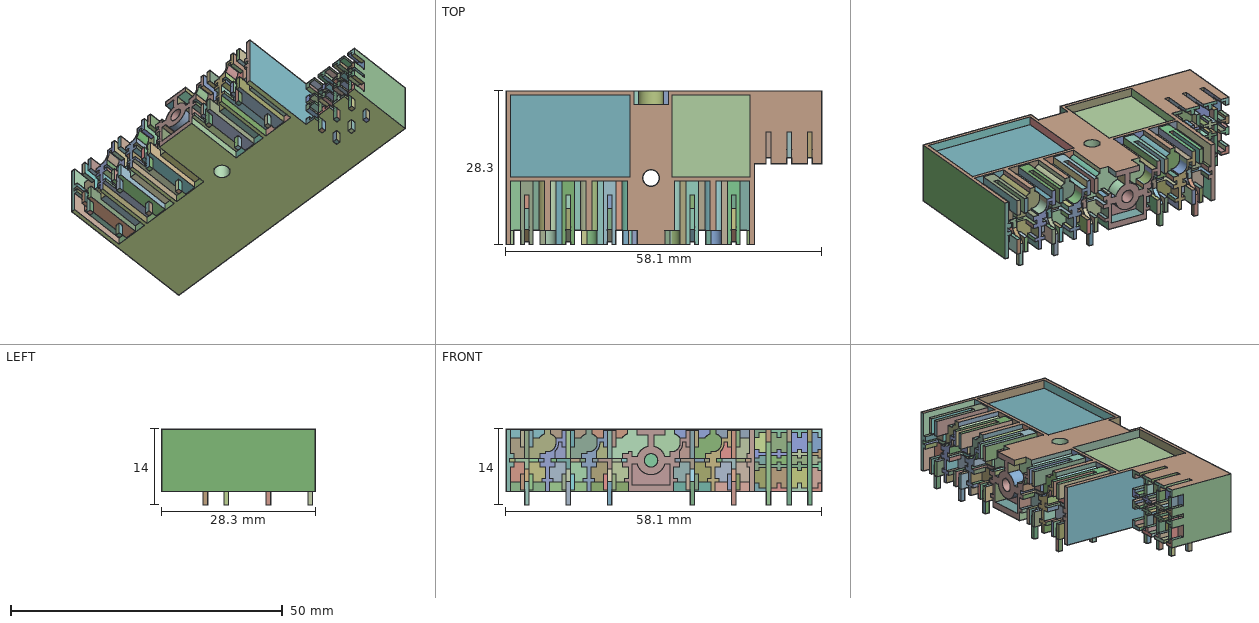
import cadquery as cq
import math

LENGTH = 58.12
DEPTH = 28.3
HEIGHT = 11.5
MID_Z = HEIGHT / 2
PITCH = 7.62
POWER_END = 6 * PITCH
SIGNAL_FRONT = 14.86
FACE_DEPTH = 2.6
BAY_BACK = 11.7
LEFT_WALL = 0.77
RIGHT_WALL = 0.9

FIRST_CONTACT = PITCH / 2
CONTACT_STATIONS = (0, 1, 2, 4, 5)
FIRST_POST = PITCH
FREE_POSTS = (0, 1, 4)
LEFT_CENTRE_POST = 2
RIGHT_CENTRE_POST = 3
POST_HALF = 0.35
SHOULDER_HALF = 1.4
SHOULDER_BOTTOM, SHOULDER_TOP = 4.57, 7.05
FOOT_HALF = 1.05
FOOT_TOP = 2.45
BLOCK_BOTTOM, BLOCK_TOP = 1.75, 9.85

KEY_Z = 8.87
KEY_RADIUS = 1.82
NECK_HALF = 0.53
TROUGH_RADIUS = 1.53
SEAT_Z = KEY_Z - TROUGH_RADIUS
HORN_RADIUS = 2.0
TAB_BOTTOM = 9.15

PLATE = 0.85
RIB_HALF = 1.16
RIB_HEIGHT = 3.0
RIB_INSET = 0.25
TAIL_LENGTH = 2.5
TAIL_WIDTH = 0.9
POWER_TAIL_FRONT = 0.5
POWER_SLOT_BACK = 9.1
PLATE_FRONT = 2.8
BLADE_BACK = 6.6
BLADE_HALF = 2.18
BLADE_SLOT_HALF = 3.17
BLADE_THICK = 0.7
BLADE_SETBACK = 0.4
RAMP_LOW, RAMP_HIGH = 1.9, 4.2

BOSS_X = 3.5 * PITCH
BOSS_RADIUS = 2.63
BORE_RADIUS = 1.24
BORE_DEPTH = 8.0
TEE_HALF = 2.55
TEE_THICK = 1.1
WEB_HALF = 0.53
BAR_HALF = 0.7
SILL = 1.23
SCREW_DIAMETER = 3.0
SCREW_Y = 12.24

NOTCH_WIDTH = 6.35
NOTCH_DEPTH = 2.55
REAR_BOSS_RADIUS = 2.27
POCKET_DEPTH = 1.6
POCKET_Y = (12.4, 27.55)
POCKET_SPANS = ((0.77, 22.83), (30.5, 44.87))

FIRST_SIGNAL = 48.3
SIGNAL_PITCH = PITCH / 2
SIGNAL_COUNT = 3
SIGNAL_CONTACTS = [FIRST_SIGNAL + i * SIGNAL_PITCH for i in range(SIGNAL_COUNT)]
SIGNAL_PLATE_FRONT = 15.95
SIGNAL_SLOT_BACK = 20.7
SIGNAL_PLATE_TOP = 9.1
SHELF_LEVELS = ((0.0, 0.65), (4.4, 4.95), (6.65, 7.2), (HEIGHT - 0.6, HEIGHT))
LIP_LEVELS = ((0.0, 1.55), (3.9, 5.45), (6.15, 7.75), (HEIGHT - 1.5, HEIGHT))
LIP_WIDTH = 0.72
LEFT_LIP_WIDTH = 0.87


def box(x0, x1, y0, y1, z0, z1):
    """Axis-aligned block between two opposite corners."""
    return cq.Workplane("XY").box(x1 - x0, y1 - y0, z1 - z0, centered=False).translate((x0, y0, z0))


def rod(x, z, radius, y0, y1):
    """Cylinder along Y."""
    return cq.Workplane("XZ", origin=(x, y0, z)).circle(radius).extrude(y0 - y1)


def face_box(x0, x1, z0, z1):
    """Block within the front guide zone."""
    return box(x0, x1, 0, FACE_DEPTH, z0, z1)


def contact_x(station):
    return FIRST_CONTACT + station * PITCH


def post_x(station):
    return FIRST_POST + station * PITCH


def fuse(shape, parts):
    return cq.Workplane(obj=shape.val().fuse(*[part.val() for part in parts]).clean())


def carve(shape, tools):
    return cq.Workplane(obj=shape.val().cut(*[tool.val() for tool in tools]).clean())


def bay_core():
    """Rear body plus everything between the front guide zone and the bay back wall."""
    bay_front = FACE_DEPTH
    centre_left = post_x(LEFT_CENTRE_POST)
    centre_right = post_x(RIGHT_CENTRE_POST)
    parts = [
        box(POWER_END, LENGTH, SIGNAL_FRONT, DEPTH, 0, HEIGHT),
        box(0, LEFT_WALL, 0, BAY_BACK, 0, HEIGHT),
        box(POWER_END - RIGHT_WALL, POWER_END, 0, BAY_BACK, 0, HEIGHT),
        box(0, POWER_END, bay_front, BAY_BACK, BLOCK_BOTTOM, BLOCK_TOP),
        box(centre_left - NECK_HALF, centre_right + NECK_HALF, bay_front, BAY_BACK, MID_Z, HEIGHT),
        box(centre_left - POST_HALF, centre_right + POST_HALF, bay_front, BAY_BACK, 0, MID_Z),
    ]
    for station in FREE_POSTS:
        x = post_x(station)
        parts.append(box(x - NECK_HALF, x + NECK_HALF, bay_front, BAY_BACK, MID_Z, HEIGHT))
        parts.append(box(x - POST_HALF, x + POST_HALF, bay_front, BAY_BACK, 0, MID_Z))
    for station in FREE_POSTS + (LEFT_CENTRE_POST, RIGHT_CENTRE_POST):
        parts.append(rod(post_x(station), KEY_Z, KEY_RADIUS, bay_front, BAY_BACK))
    return fuse(box(0, POWER_END, BAY_BACK, DEPTH, 0, HEIGHT), parts)


def curved_lip(x):
    """Left end of the trough: the stretch of its curve over the left half of a post."""
    lip_top = KEY_Z - math.sqrt(TROUGH_RADIUS ** 2 - POST_HALF ** 2)
    lip = face_box(x - POST_HALF, x, SEAT_Z, lip_top)
    return lip.cut(rod(x, KEY_Z, TROUGH_RADIUS, 0, FACE_DEPTH))


def horn(x):
    """Right-hand arm of a post: shoulder, trough wall and the tab reaching the next rib."""
    tab_end = PITCH / 2 - RIB_HALF
    diagonal = math.sqrt(0.5)
    outer_drop = math.sqrt(HORN_RADIUS ** 2 - SHOULDER_HALF ** 2)
    half_angle = math.acos(SHOULDER_HALF / HORN_RADIUS) / 2
    outer_mid = (HORN_RADIUS * math.cos(half_angle), KEY_Z - HORN_RADIUS * math.sin(half_angle))
    return (
        cq.Workplane("XZ", origin=(x, 0, 0))
        .moveTo(0, SHOULDER_BOTTOM)
        .lineTo(0, SEAT_Z)
        .threePointArc((TROUGH_RADIUS * diagonal, KEY_Z - TROUGH_RADIUS * diagonal), (TROUGH_RADIUS, KEY_Z))
        .lineTo(TROUGH_RADIUS, BLOCK_TOP)
        .lineTo(tab_end, BLOCK_TOP)
        .lineTo(tab_end, TAB_BOTTOM)
        .lineTo(HORN_RADIUS, TAB_BOTTOM)
        .lineTo(HORN_RADIUS, KEY_Z)
        .threePointArc(outer_mid, (SHOULDER_HALF, KEY_Z - outer_drop))
        .lineTo(SHOULDER_HALF, SHOULDER_BOTTOM)
        .close()
        .extrude(-FACE_DEPTH)
    )


def post(station, left_arm, right_arm):
    """Guide post in the front zone with its shoulders and feet."""
    x = post_x(station)
    parts = []
    if left_arm:
        parts.append(curved_lip(x))
        parts.append(face_box(x - SHOULDER_HALF, x, SHOULDER_BOTTOM, SHOULDER_TOP))
        parts.append(face_box(x - FOOT_HALF, x, BLOCK_BOTTOM, FOOT_TOP))
    if right_arm:
        parts.append(horn(x))
        parts.append(face_box(x, x + FOOT_HALF, BLOCK_BOTTOM, FOOT_TOP))
    return fuse(face_box(x - POST_HALF, x + POST_HALF, 0, SEAT_Z), parts)


def front_guides():
    """All posts, plus the half shoulders on the two end walls."""
    wall_reach = PITCH / 2 - SHOULDER_HALF
    parts = [post(station, True, True) for station in FREE_POSTS]
    parts.append(post(LEFT_CENTRE_POST, True, False))
    parts.append(post(RIGHT_CENTRE_POST, False, True))
    first = contact_x(CONTACT_STATIONS[0])
    last = contact_x(CONTACT_STATIONS[-1])
    parts.append(face_box(0, first - wall_reach, SHOULDER_BOTTOM, SHOULDER_TOP))
    parts.append(face_box(last + wall_reach, POWER_END, SHOULDER_BOTTOM, SHOULDER_TOP))
    return parts


def centre_boss():
    """Screw boss held by side bars, a web with a tee on top, and a sill below."""
    left = post_x(LEFT_CENTRE_POST)
    right = post_x(RIGHT_CENTRE_POST)
    return [
        rod(BOSS_X, MID_Z, BOSS_RADIUS, 0, FACE_DEPTH),
        face_box(left, right, MID_Z - BAR_HALF, MID_Z + BAR_HALF),
        face_box(left, right, 0, SILL),
        face_box(BOSS_X - WEB_HALF, BOSS_X + WEB_HALF, MID_Z, HEIGHT),
        face_box(BOSS_X - TEE_HALF, BOSS_X + TEE_HALF, HEIGHT - TEE_THICK, HEIGHT),
    ]


def contact_ribs(x):
    """Upper and lower ribs that hold one power contact."""
    upper_top = HEIGHT - RIB_INSET
    upper = box(x - RIB_HALF, x + RIB_HALF, 0, BAY_BACK, upper_top - RIB_HEIGHT, upper_top)
    lower = box(x - RIB_HALF, x + RIB_HALF, 0, BAY_BACK, RIB_INSET, RIB_INSET + RIB_HEIGHT)
    return [upper, lower]


def blade_box(x0, x1, y_front):
    half_thick = BLADE_THICK / 2
    return box(x0, x1, y_front, BLADE_BACK, MID_Z - half_thick, MID_Z + half_thick)


def power_slots(x):
    """Upright contact slot and the cross slot for the blade."""
    upright = box(x - PLATE / 2, x + PLATE / 2, 0, POWER_SLOT_BACK, 0, HEIGHT)
    return [upright, blade_box(x - BLADE_SLOT_HALF, x + BLADE_SLOT_HALF, 0)]


def tail(x, y_front):
    return box(x - PLATE / 2, x + PLATE / 2, y_front, y_front + TAIL_WIDTH, -TAIL_LENGTH, RAMP_LOW)


def power_contact(x):
    """Upright plate with a ramped front, two cross-blade arms and two solder tails."""
    blade_top = MID_Z + BLADE_THICK / 2
    plate = (
        cq.Workplane("YZ", origin=(x - PLATE / 2, 0, 0))
        .polyline([
            (POWER_TAIL_FRONT, RIB_INSET),
            (POWER_TAIL_FRONT, RAMP_LOW),
            (PLATE_FRONT, RAMP_HIGH),
            (PLATE_FRONT, blade_top),
            (BLADE_BACK, blade_top),
            (BLADE_BACK, RAMP_HIGH),
            (POWER_SLOT_BACK, RAMP_HIGH),
            (POWER_SLOT_BACK, RIB_INSET),
        ])
        .close()
        .extrude(PLATE)
    )
    rear_tail = POWER_SLOT_BACK - TAIL_WIDTH
    left_arm = blade_box(x - BLADE_HALF, x, PLATE_FRONT)
    right_arm = blade_box(x, x + BLADE_HALF, PLATE_FRONT + BLADE_SETBACK)
    return [plate, left_arm, right_arm, tail(x, POWER_TAIL_FRONT), tail(x, rear_tail)]


def signal_face(body):
    """Open the signal front into shelves with short upright lips between the contacts."""
    y0 = SIGNAL_FRONT
    y1 = SIGNAL_FRONT + FACE_DEPTH
    body = body.cut(box(POWER_END, LENGTH, y0, y1, 0, HEIGHT))
    lip_spans = [(POWER_END, POWER_END + LEFT_LIP_WIDTH), (LENGTH - LIP_WIDTH, LENGTH)]
    for left, right in zip(SIGNAL_CONTACTS, SIGNAL_CONTACTS[1:]):
        middle = (left + right) / 2
        lip_spans.append((middle - LIP_WIDTH / 2, middle + LIP_WIDTH / 2))
    shelves = [box(POWER_END, LENGTH, y0, y1, z0, z1) for z0, z1 in SHELF_LEVELS]
    lips = [box(x0, x1, y0, y1, z0, z1) for x0, x1 in lip_spans for z0, z1 in LIP_LEVELS]
    return fuse(body, shelves + lips)


def signal_contact(body, x):
    """Slot through the signal half, filled with a plate that carries two solder tails."""
    x0 = x - PLATE / 2
    x1 = x + PLATE / 2
    body = body.cut(box(x0, x1, SIGNAL_FRONT, SIGNAL_SLOT_BACK, 0, HEIGHT))
    plate = box(x0, x1, SIGNAL_PLATE_FRONT, SIGNAL_SLOT_BACK, 0, SIGNAL_PLATE_TOP)
    rear_tail = SIGNAL_SLOT_BACK - TAIL_WIDTH
    return fuse(body, [plate, tail(x, SIGNAL_PLATE_FRONT), tail(x, rear_tail)])


def rear_notch(body):
    """Notch in the rear upper edge with a half-round boss on its floor."""
    y0 = DEPTH - NOTCH_DEPTH
    half = NOTCH_WIDTH / 2
    body = body.cut(box(BOSS_X - half, BOSS_X + half, y0, DEPTH, MID_Z, HEIGHT))
    return body.union(rod(BOSS_X, MID_Z, REAR_BOSS_RADIUS, y0, DEPTH))


def top_pockets(body):
    for x0, x1 in POCKET_SPANS:
        body = body.cut(box(x0, x1, *POCKET_Y, HEIGHT - POCKET_DEPTH, HEIGHT))
    return body


def screw_holes(body):
    """Blind bore in the front boss and a through hole from the top."""
    body = body.cut(rod(BOSS_X, MID_Z, BORE_RADIUS, 0, BORE_DEPTH))
    screw = cq.Workplane("XY").center(BOSS_X, SCREW_Y).circle(SCREW_DIAMETER / 2).extrude(HEIGHT)
    return body.cut(screw)


power_contacts = [contact_x(station) for station in CONTACT_STATIONS]
ribs = [rib for x in power_contacts for rib in contact_ribs(x)]
slots = [slot for x in power_contacts for slot in power_slots(x)]
contact_parts = [part for x in power_contacts for part in power_contact(x)]

housing = fuse(bay_core(), front_guides() + centre_boss() + ribs)
housing = carve(housing, slots)
housing = fuse(housing, contact_parts)
housing = signal_face(housing)
for contact in SIGNAL_CONTACTS:
    housing = signal_contact(housing, contact)
housing = rear_notch(housing)
housing = top_pockets(housing)
result = screw_holes(housing)